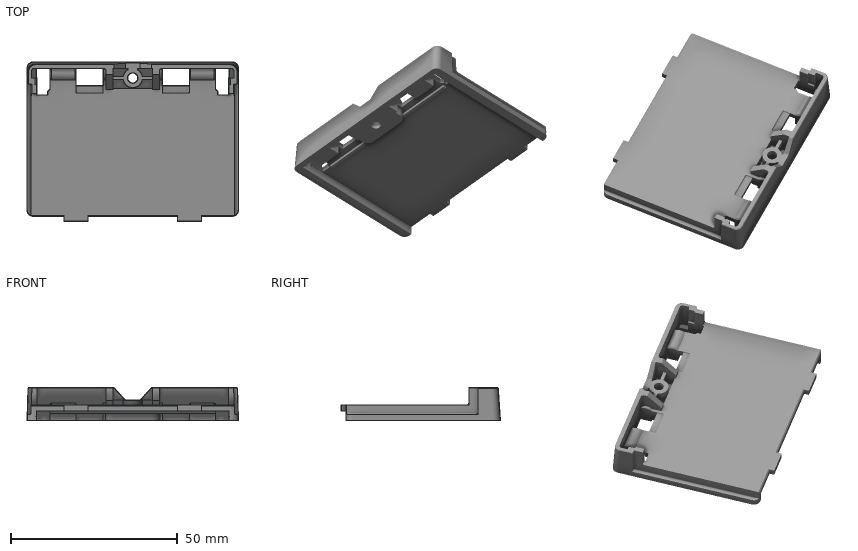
import cadquery as cq

width = 63.51
length_with_tabs = 47.88
height = 9.9
base_front = -46.4
corner_radius = 2.0
side_draft = 0.3
back_draft = 0.65

plate_top = 4.7
plate_bottom = 2.85
plate_edge_chamfer = 0.35

wall_inner_y = -2.0
wall_inner_x = 30.4
side_wall_front = -9.5
wall_foot_radius = 0.6
wall_rim_chamfer = 0.2
wall_corner_radius = 0.8
cavity_half_width = 28.9

ledge_height = 1.9
ledge_fillet = 0.35
ledge_start = -6.7
ledge_wall_x = 30.6
ledge_wall_lean = 0.35
notch_half_width_top = 5.7
notch_half_width_bottom = 2.2

post_inner_x = 28.75
post_start = -6.8
post_step_x = 29.3
post_step_start = -4.8

corner_pocket_floor = 1.3

tab_inner_x = 13.4
tab_outer_x = 20.7

outer_window_x = 24.85
outer_window_wide_x = 25.55
outer_window_bevel_start = -8.2
outer_window_front = -9.9
inner_window_outer_x = 17.0
inner_window_inner_x = 8.9
inner_window_front = -7.15
relief_front = -9.4
relief_depth = 0.4
relief_fillet = 0.38

bar_top = 5.35
bar_front = -5.4
stub_bar_inner_x = 7.9
bar_end_chamfer = 0.4

rib_bottom = 2.1
rib_thickness = 1.0

screw_y = -4.85
screw_diameter = 3.0
boss_diameter = 5.8
boss_top = 6.15
web_thickness = 0.95
bridge_width = 3.0
pocket_half_width = 6.0
pocket_front = -8.0
pocket_floor = 1.5
pocket_box_half_width = 8.2
pocket_box_front = -9.4
pocket_box_radius = 2.2

gusset_inner_x = 5.95
gusset_outer_x = 8.0
gusset_slope_start = -3.8
gusset_front = -8.3
gusset_front_top = 6.05


def block(x_range, y_range, z_range):
    """Box spanning the given X, Y and Z ranges."""
    spans = (x_range, y_range, z_range)
    sizes = [max(span) - min(span) for span in spans]
    corner = tuple(min(span) for span in spans)
    return cq.Workplane("XY").box(*sizes, centered=False).translate(corner)


def side_profile(points, x_start, x_end):
    """Extrude a closed outline of (Y, Z) points from x_start to x_end."""
    outline = cq.Workplane("YZ", origin=(x_start, 0, 0)).polyline(points).close()
    return outline.extrude(x_end - x_start)


def both_sides(solid):
    """The solid joined with its mirror image across the middle plane."""
    return solid.union(solid.mirror("YZ"))


def rounded_outline(inset, back, z):
    """Rounded rectangle at height z, inset at each side, with its back edge at Y = back."""
    sketch = cq.Sketch().rect(width - 2 * inset, back - base_front).vertices().fillet(corner_radius)
    middle_y = (back + base_front) / 2
    return sketch.moved(cq.Location(cq.Vector(0, middle_y, z)))


def drafted_envelope():
    """Rounded block leaning inward toward the top, with a bevelled top rim."""
    base = rounded_outline(0, 0, 0)
    shoulder = rounded_outline(side_draft, -back_draft, height - wall_rim_chamfer)
    top = rounded_outline(side_draft + wall_rim_chamfer, -back_draft - wall_rim_chamfer, height)
    walls = cq.Workplane("XY").placeSketch(base, shoulder).loft()
    rim = cq.Workplane("XY").placeSketch(shoulder, top).loft()
    return walls.union(rim)


def make_shell():
    """Plate with a back wall and short side walls, open below and at the front."""
    above_plate = side_profile(
        [
            (side_wall_front, height),
            (side_wall_front, plate_top),
            (-length_with_tabs, plate_top),
            (-length_with_tabs, height),
        ],
        -width / 2,
        width / 2,
    )
    foot_edge = cq.selectors.NearestToPointSelector((0, side_wall_front, plate_top))
    above_plate = above_plate.edges(foot_edge).fillet(wall_foot_radius)
    inside_walls = block(
        (-gusset_outer_x, gusset_outer_x), (wall_inner_y, -length_with_tabs), (plate_top, height)
    )
    side_bay = block(
        (gusset_outer_x, wall_inner_x), (wall_inner_y, -length_with_tabs), (plate_top, height)
    )
    side_bay = side_bay.edges("|Z and >Y").fillet(wall_corner_radius)
    inside_walls = inside_walls.union(both_sides(side_bay))
    underside = block(
        (-cavity_half_width, cavity_half_width), (wall_inner_y, -length_with_tabs), (0, plate_bottom)
    )
    return drafted_envelope().cut(above_plate).cut(inside_walls).cut(underside)


def make_posts():
    """Thickened front ends of the side walls, stepped on the inner face."""
    full = block((post_inner_x, ledge_wall_x), (post_start, side_wall_front), (plate_bottom, height))
    step = block((post_step_x, ledge_wall_x), (post_step_start, post_start), (plate_bottom, height))
    return both_sides(full.union(step))


def make_corner_pockets():
    """Space between the back wall and each post, cut down below the plate."""
    pocket = block(
        (post_inner_x, wall_inner_x),
        (wall_inner_y, post_step_start),
        (corner_pocket_floor, height),
    )
    pocket = pocket.edges("|Z and >Y and >X").fillet(wall_corner_radius)
    return both_sides(pocket)


def make_ledge_cuts():
    """Material removed outside the long sides, leaving a leaning wall and a filleted ledge."""
    cut_top = 2 * height
    top_x = ledge_wall_x - ledge_wall_lean * (cut_top - ledge_height) / (height - ledge_height)
    outline = [
        (width / 2, ledge_height),
        (ledge_wall_x, ledge_height),
        (top_x, cut_top),
        (width / 2, cut_top),
    ]
    start_plane = cq.Workplane("XZ", origin=(0, ledge_start, 0))
    cut = start_plane.polyline(outline).close().extrude(length_with_tabs)
    return both_sides(cut.faces("<X").edges().fillet(ledge_fillet))


def make_tabs():
    """Two flat tabs extending the front edge of the plate."""
    tab = block(
        (tab_inner_x, tab_outer_x), (base_front, -length_with_tabs), (plate_bottom, plate_top)
    )
    return both_sides(tab)


def make_windows():
    """Openings through the plate, with a shallow relief in front of the inner pair."""
    bevel_run = outer_window_wide_x - outer_window_x
    outer_outline = [
        (post_inner_x, wall_inner_y),
        (outer_window_x, wall_inner_y),
        (outer_window_x, outer_window_bevel_start),
        (outer_window_wide_x, outer_window_bevel_start - bevel_run),
        (outer_window_wide_x, outer_window_front),
        (post_inner_x, outer_window_front),
    ]
    outer = cq.Workplane("XY").polyline(outer_outline).close().extrude(plate_top)
    inner = block(
        (inner_window_inner_x, inner_window_outer_x), (wall_inner_y, inner_window_front), (0, plate_top)
    )
    relief = block(
        (inner_window_inner_x, inner_window_outer_x),
        (inner_window_front, relief_front),
        (plate_top - relief_depth, plate_top),
    )
    relief = relief.edges("<Y and |Z").fillet(relief_fillet)
    relief = relief.faces("<Z").edges("<Y").fillet(relief_fillet)
    return both_sides(outer.union(inner).union(relief))


def rounded_bar(x_start, x_end):
    """Bar along X against the back wall with an arched top."""
    middle_y = (wall_inner_y + bar_front) / 2
    outline = (
        cq.Workplane("YZ", origin=(x_start, 0, 0))
        .moveTo(wall_inner_y, 0)
        .lineTo(wall_inner_y, plate_top)
        .threePointArc((middle_y, bar_top), (bar_front, plate_top))
        .lineTo(bar_front, 0)
        .close()
    )
    return outline.extrude(x_end - x_start)


def make_bars():
    """Long bars between the windows and stubs beside the gussets."""
    long_bar = rounded_bar(inner_window_outer_x, outer_window_x)
    long_bar = long_bar.faces("|X").edges("%CIRCLE").chamfer(bar_end_chamfer)
    stub = rounded_bar(stub_bar_inner_x, inner_window_inner_x)
    return both_sides(long_bar.union(stub))


def make_rib():
    """Shallow cross rib on the underside of the plate."""
    return block(
        (-outer_window_x, outer_window_x),
        (relief_front, relief_front - rib_thickness),
        (rib_bottom, plate_bottom),
    )


def make_pocket_box():
    """Rounded block under the plate that encloses the screw pocket."""
    box = block(
        (-pocket_box_half_width, pocket_box_half_width),
        (wall_inner_y, pocket_box_front),
        (0, plate_bottom),
    )
    return box.faces("<Y").edges("|Z").fillet(pocket_box_radius)


def make_pocket():
    """Recess around the screw boss."""
    return block(
        (-pocket_half_width, pocket_half_width), (wall_inner_y, pocket_front), (pocket_floor, height)
    )


def make_boss():
    """Screw boss tied to the back wall and to the gussets."""
    boss = cq.Workplane("XY", origin=(0, screw_y, 0)).circle(boss_diameter / 2).extrude(boss_top)
    web = block(
        (-pocket_half_width, pocket_half_width),
        (screw_y - web_thickness / 2, screw_y + web_thickness / 2),
        (pocket_floor, boss_top),
    )
    bridge = block(
        (-bridge_width / 2, bridge_width / 2), (wall_inner_y, screw_y), (pocket_floor, boss_top)
    )
    return boss.union(web).union(bridge)


def make_screw_hole():
    """Through hole in the boss."""
    return cq.Workplane("XY", origin=(0, screw_y, 0)).circle(screw_diameter / 2).extrude(height)


def make_gussets():
    """Ribs sloping from the top of the back wall down to the plate."""
    outline = [
        (wall_inner_y, plate_bottom),
        (wall_inner_y, height),
        (gusset_slope_start, height),
        (gusset_front, gusset_front_top),
        (gusset_front, plate_bottom),
    ]
    return both_sides(side_profile(outline, gusset_inner_x, gusset_outer_x))


def make_wall_notch():
    """V-shaped gap in the back wall above the screw boss."""
    outline = [
        (-notch_half_width_top, height),
        (-notch_half_width_bottom, boss_top),
        (notch_half_width_bottom, boss_top),
        (notch_half_width_top, height),
    ]
    return cq.Workplane("XZ").polyline(outline).close().extrude(-wall_inner_y)


def chamfer_front_edges(solid):
    """Break the upper front edge of the plate between and beside the tabs."""
    reach = plate_edge_chamfer
    outline = [
        (base_front, plate_top - reach),
        (base_front, plate_top),
        (base_front + reach, plate_top),
    ]
    for x_start, x_end in (
        (-width / 2, -tab_outer_x),
        (-tab_inner_x, tab_inner_x),
        (tab_outer_x, width / 2),
    ):
        solid = solid.cut(side_profile(outline, x_start, x_end))
    return solid


result = make_shell().union(make_posts()).cut(make_ledge_cuts())
result = chamfer_front_edges(result).union(make_tabs())
result = result.cut(make_windows()).cut(make_corner_pockets())
result = result.union(make_bars()).union(make_rib())
result = result.union(make_pocket_box()).union(make_gussets()).cut(make_pocket())
result = result.union(make_boss()).cut(make_screw_hole()).cut(make_wall_notch())